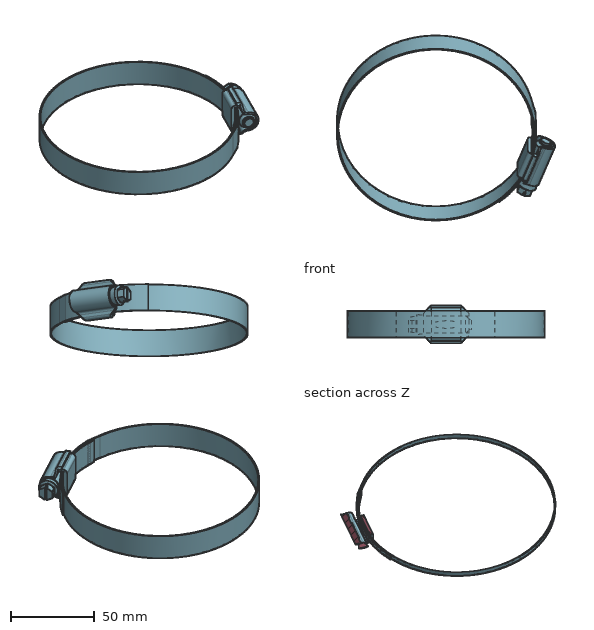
import cadquery as cq
import math

band_width = 16.0
band_thickness = 0.72
ring_radius = 59.2
layer_gap = 0.07
outer_end_angle = -30
joggle_start_angle = 26.5
joggle_end_angle = 35
tail_start_angle = 9
tail_bend_start_angle = 24.8
tail_bend_end_angle = 26.5
tail_end_angle = 30
tail_curve_drop = 0.3
tail_bend_start_drop = 0.8
tail_bend_end_drop = 0.9
tail_end_drop = 0.8

screw_axis_y = 64.7
worm_radius = 5.2
collar_end_radius = 5.5
flange_radius = 6.0
tip_radius = 3.0
worm_end_radius = 3.7
hex_across_flats = 8.2
head_start_x = -22.7
flange_front_x = -18.1
flange_rim_x = -17.5
flange_back_x = -17.1
worm_taper_x = 11.6
tip_end_x = 15.1
slot_width = 1.2
slot_depth = 2.1

housing_length = 27.1
sheet_thickness = 1.3
housing_half_width = 11.5
tube_side_end_y = 63.6
flange_top_y = 62.2
hook_end_y = 58.8
hook_inner_radius = 0.3
hook_flat_length = 17.5

saddle_length = 17.7
saddle_half_width = 9.9
saddle_bottom_y = 55.5
saddle_bottom_radius = 2.3

housing_end_x = housing_length / 2
tube_radius = worm_radius + sheet_thickness
flange_underside_y = flange_top_y - sheet_thickness
hook_outer_radius = hook_inner_radius + sheet_thickness
hook_inner_z = housing_half_width - sheet_thickness
hook_bend_z = hook_inner_z - hook_inner_radius
hook_bend_y = flange_underside_y - hook_inner_radius


def polar(radius, angle):
    """Point in XY at an angle in degrees from +Y, positive toward +X."""
    return (radius * math.sin(math.radians(angle)), radius * math.cos(math.radians(angle)))


def arc_through(radius, start_angle, end_angle):
    """Middle and end points of an arc about the ring centre."""
    return polar(radius, (start_angle + end_angle) / 2), polar(radius, end_angle)


def make_screw():
    profile = [
        (flange_front_x, 0),
        (flange_front_x, hex_across_flats / 2),
        (flange_rim_x, flange_radius),
        (flange_back_x, flange_radius),
        (-housing_end_x, collar_end_radius),
        (-housing_end_x, worm_radius),
        (worm_taper_x, worm_radius),
        (housing_end_x, worm_end_radius),
        (housing_end_x, tip_radius),
        (tip_end_x, tip_radius),
        (tip_end_x, 0),
    ]
    shank = (
        cq.Workplane("XY").polyline(profile).close()
        .revolve(360, (0, 0, 0), (1, 0, 0))
        .translate((0, screw_axis_y, 0))
    )
    hex_across_corners = hex_across_flats / math.cos(math.radians(30))
    head = (
        cq.Workplane("YZ", origin=(head_start_x, screw_axis_y, 0))
        .transformed(rotate=(0, 0, 90))
        .polygon(6, hex_across_corners)
        .extrude(flange_front_x - head_start_x)
    )
    slot = (
        cq.Workplane("XY")
        .box(slot_depth, slot_width, hex_across_corners)
        .translate((head_start_x + slot_depth / 2, screw_axis_y, 0))
    )
    return shank.union(head).cut(slot)


def make_band(screw):
    outer_layer_outside = ring_radius + layer_gap + band_thickness
    outer_layer_inside = ring_radius + layer_gap
    ring_inside = ring_radius - band_thickness
    ring_end_angle = 360 + tail_start_angle
    tail_curve_angle = (tail_start_angle + tail_bend_start_angle) / 2
    outline = (
        cq.Workplane("XY", origin=(0, 0, -band_width / 2))
        .moveTo(*polar(outer_layer_outside, outer_end_angle))
        .threePointArc(*arc_through(outer_layer_outside, outer_end_angle, joggle_start_angle))
        .lineTo(*polar(ring_radius, joggle_end_angle))
        .threePointArc(*arc_through(ring_radius, joggle_end_angle, ring_end_angle))
        .threePointArc(
            polar(ring_radius - tail_curve_drop, tail_curve_angle),
            polar(ring_radius - tail_bend_start_drop, tail_bend_start_angle),
        )
        .lineTo(*polar(ring_radius - tail_bend_end_drop, tail_bend_end_angle))
        .lineTo(*polar(ring_radius - tail_end_drop, tail_end_angle))
        .lineTo(*polar(ring_inside - tail_end_drop, tail_end_angle))
        .lineTo(*polar(ring_inside - tail_bend_end_drop, tail_bend_end_angle))
        .lineTo(*polar(ring_inside - tail_bend_start_drop, tail_bend_start_angle))
        .threePointArc(
            polar(ring_inside - tail_curve_drop, tail_curve_angle),
            polar(ring_inside, ring_end_angle),
        )
        .threePointArc(*arc_through(ring_inside, ring_end_angle, joggle_end_angle))
        .lineTo(*polar(outer_layer_inside, joggle_start_angle))
        .threePointArc(*arc_through(outer_layer_inside, joggle_start_angle, outer_end_angle))
        .close()
    )
    return outline.extrude(band_width).cut(screw)


def make_housing():
    diagonal = math.sqrt(0.5)
    flare_z = tube_radius + tube_side_end_y - flange_top_y
    flare_outer_radius = tube_side_end_y - flange_top_y
    flare_inner_radius = flare_outer_radius + sheet_thickness

    def on_flare(radius):
        return (tube_side_end_y - radius * diagonal, flare_z - radius * diagonal)

    def on_hook(radius):
        return (hook_bend_y + radius * diagonal, hook_bend_z + radius * diagonal)

    def on_tube(radius):
        return (screw_axis_y + radius * diagonal, radius * diagonal)

    half = (
        cq.Workplane("YZ", origin=(-housing_end_x, 0, 0))
        .moveTo(screw_axis_y + tube_radius, 0)
        .threePointArc(on_tube(tube_radius), (screw_axis_y, tube_radius))
        .lineTo(tube_side_end_y, tube_radius)
        .threePointArc(on_flare(flare_outer_radius), (flange_top_y, flare_z))
        .lineTo(flange_top_y, hook_bend_z)
        .threePointArc(on_hook(hook_outer_radius), (hook_bend_y, housing_half_width))
        .lineTo(hook_end_y, housing_half_width)
        .lineTo(hook_end_y, hook_inner_z)
        .lineTo(hook_bend_y, hook_inner_z)
        .threePointArc(on_hook(hook_inner_radius), (flange_underside_y, hook_bend_z))
        .lineTo(flange_underside_y, flare_z)
        .threePointArc(on_flare(flare_inner_radius), (tube_side_end_y, worm_radius))
        .lineTo(screw_axis_y, worm_radius)
        .threePointArc(on_tube(worm_radius), (screw_axis_y + worm_radius, 0))
        .close()
        .extrude(housing_length)
    )
    corner_size = (housing_length - hook_flat_length) / 2
    blank_height = screw_axis_y + tube_radius
    plan = (
        cq.Workplane("XZ")
        .rect(housing_length, 2 * housing_half_width)
        .extrude(-blank_height)
        .edges("|Y")
        .chamfer(corner_size)
    )
    return half.union(half.mirror("XY")).intersect(plan)


def make_saddle():
    height = flange_underside_y - saddle_bottom_y
    floor_y = math.sqrt((ring_radius - band_thickness) ** 2 - (saddle_length / 2) ** 2)
    block = (
        cq.Workplane("XY")
        .box(saddle_length, height, 2 * saddle_half_width)
        .translate((0, saddle_bottom_y + height / 2, 0))
        .edges("|X and <Y").fillet(saddle_bottom_radius)
        .edges("|X and >Y").fillet(hook_inner_radius)
    )
    channel_depth = flange_underside_y - floor_y
    channel = (
        cq.Workplane("XY")
        .box(saddle_length, channel_depth, band_width)
        .translate((0, floor_y + channel_depth / 2, 0))
    )
    return block.cut(channel)


screw = make_screw()
band = make_band(screw)
housing = make_housing()
saddle = make_saddle()

bodies = [screw, band, housing, saddle]
result = cq.Compound.makeCompound([body.solids().val() for body in bodies])